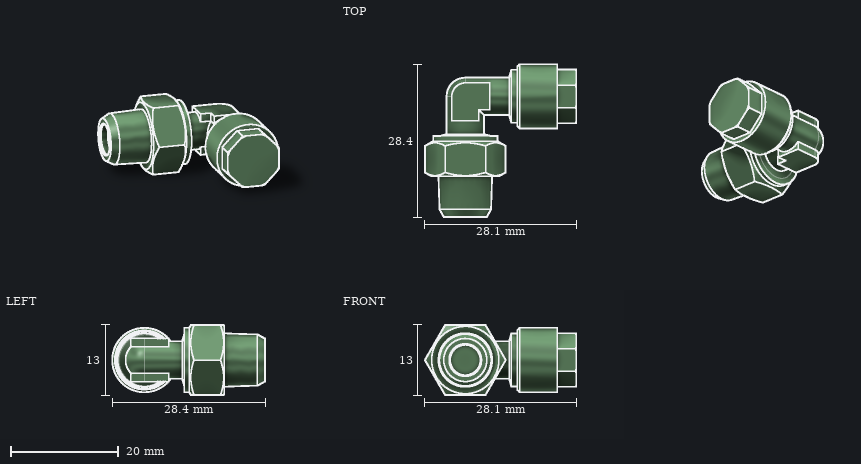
import math

import cadquery as cq

tube_radius = 3.5

shoulder_radius = 4.75
shoulder_length = 0.35

pad_half_height = 4.0
pad_half_width = 2.5
pad_reach = 4.5

outlet_shoulder_x = 8.12
collar_radius = 4.95
collar_chamfer = 0.08
sleeve_start_x = 9.6
sleeve_end_x = 17.1
sleeve_radius = 6.0
sleeve_chamfer = 0.5
sleeve_mouth_radius = 5.27
ring_across_flats = 10.0
ring_sides = 8
ring_end_radius = 5.2
ring_end_x = 20.6

inlet_shoulder = 7.0
washer_radius = 6.0
nut_start = 8.32
nut_end = 14.85
nut_across_flats = 13.0
nut_sides = 6
nut_end_radius = 6.25
thread_root_radius = 5.0
thread_tip_radius = 4.8
thread_chamfer_start = 20.95
thread_end_radius = 4.0
inlet_end = 22.39
bore_radius = 2.8
bore_chamfer = 0.22
bore_depth = 1.5

corner_angle = math.radians(30)


def corner_radius(across_flats, sides):
    """Radius of the circle through the corners of a regular polygon."""
    return across_flats / 2 / math.cos(math.pi / sides)


def revolve_along_x(profile):
    """Turn a closed (station, radius) profile about the X axis."""
    return cq.Workplane("XY").polyline(profile).close().revolve(360, (0, 0, 0), (1, 0, 0))


def revolve_along_minus_y(profile):
    """Turn a closed (station, radius) profile about the Y axis, stations running to -Y."""
    points = [(radius, -station) for station, radius in profile]
    return cq.Workplane("XY").polyline(points).close().revolve(360, (0, 0, 0), (0, 1, 0))


def make_bend():
    ball = cq.Workplane("XY").sphere(tube_radius)
    outlet_tube = cq.Workplane("YZ").circle(tube_radius).extrude(outlet_shoulder_x)
    inlet_tube = cq.Workplane("XZ").circle(tube_radius).extrude(inlet_shoulder)
    return ball.union(outlet_tube).union(inlet_tube)


def make_pads():
    """L-shaped block whose top and bottom stand out from the tubes as flat pads."""
    arc_offset = pad_half_width * math.sqrt(0.5)
    return (
        cq.Workplane("XY")
        .workplane(offset=-pad_half_height)
        .moveTo(-pad_half_width, 0)
        .threePointArc((-arc_offset, arc_offset), (0, pad_half_width))
        .lineTo(pad_reach, pad_half_width)
        .lineTo(pad_reach, -pad_half_width)
        .lineTo(pad_half_width, -pad_half_width)
        .lineTo(pad_half_width, -pad_reach)
        .lineTo(-pad_half_width, -pad_reach)
        .close()
        .extrude(2 * pad_half_height)
    )


def make_collar():
    shoulder_end_x = outlet_shoulder_x + shoulder_length
    return revolve_along_x([
        (outlet_shoulder_x, 0),
        (outlet_shoulder_x, tube_radius),
        (shoulder_end_x, shoulder_radius),
        (shoulder_end_x + collar_chamfer, collar_radius),
        (sleeve_end_x, collar_radius),
        (sleeve_end_x, 0),
    ])


def make_sleeve():
    """Sleeve around the collar, with a bevelled rim and a flared mouth."""
    mouth_depth = sleeve_mouth_radius - collar_radius
    return revolve_along_x([
        (sleeve_start_x, sleeve_mouth_radius),
        (sleeve_start_x, sleeve_radius - sleeve_chamfer),
        (sleeve_start_x + sleeve_chamfer, sleeve_radius),
        (sleeve_end_x, sleeve_radius),
        (sleeve_end_x, 0),
        (sleeve_start_x + mouth_depth, 0),
        (sleeve_start_x + mouth_depth, collar_radius),
    ])


def make_release_ring():
    """Octagonal ring with flats on +Z and +Y, its corners trimmed by a cone at the end."""
    corner = corner_radius(ring_across_flats, ring_sides)
    trim_length = (corner - ring_end_radius) * math.tan(corner_angle)
    octagon = (
        cq.Workplane("YZ")
        .workplane(offset=sleeve_end_x)
        .transformed(rotate=(0, 0, 180 / ring_sides))
        .polygon(ring_sides, 2 * corner)
        .extrude(ring_end_x - sleeve_end_x)
    )
    envelope = revolve_along_x([
        (sleeve_end_x, 0),
        (sleeve_end_x, corner),
        (ring_end_x - trim_length, corner),
        (ring_end_x, ring_end_radius),
        (ring_end_x, 0),
    ])
    return octagon.intersect(envelope)


def make_washer():
    shoulder_end = inlet_shoulder + shoulder_length
    return revolve_along_minus_y([
        (inlet_shoulder, 0),
        (inlet_shoulder, tube_radius),
        (shoulder_end, shoulder_radius),
        (shoulder_end, washer_radius),
        (nut_start, washer_radius),
        (nut_start, 0),
    ])


def make_nut():
    """Hexagonal nut with corners on +X and -X, trimmed by a cone at each end."""
    corner = corner_radius(nut_across_flats, nut_sides)
    start_trim = (corner - washer_radius) * math.tan(corner_angle)
    end_trim = (corner - nut_end_radius) * math.tan(corner_angle)
    hexagon = (
        cq.Workplane("XZ")
        .workplane(offset=nut_start)
        .polygon(nut_sides, 2 * corner)
        .extrude(nut_end - nut_start)
    )
    envelope = revolve_along_minus_y([
        (nut_start, 0),
        (nut_start, washer_radius),
        (nut_start + start_trim, corner),
        (nut_end - end_trim, corner),
        (nut_end, nut_end_radius),
        (nut_end, 0),
    ])
    return hexagon.intersect(envelope)


def make_thread_stub():
    """Plain tapered body of the male thread, bevelled at its tip."""
    return revolve_along_minus_y([
        (nut_end, 0),
        (nut_end, thread_root_radius),
        (thread_chamfer_start, thread_tip_radius),
        (inlet_end, thread_end_radius),
        (inlet_end, 0),
    ])


def make_bore():
    """Shallow flat-bottomed bore with a bevelled mouth in the inlet end."""
    return revolve_along_minus_y([
        (inlet_end - bore_depth, 0),
        (inlet_end - bore_depth, bore_radius),
        (inlet_end - bore_chamfer, bore_radius),
        (inlet_end, bore_radius + bore_chamfer),
        (inlet_end, 0),
    ])


result = (
    make_bend()
    .union(make_pads())
    .union(make_collar())
    .union(make_sleeve())
    .union(make_release_ring())
    .union(make_washer())
    .union(make_nut())
    .union(make_thread_stub())
    .cut(make_bore())
)